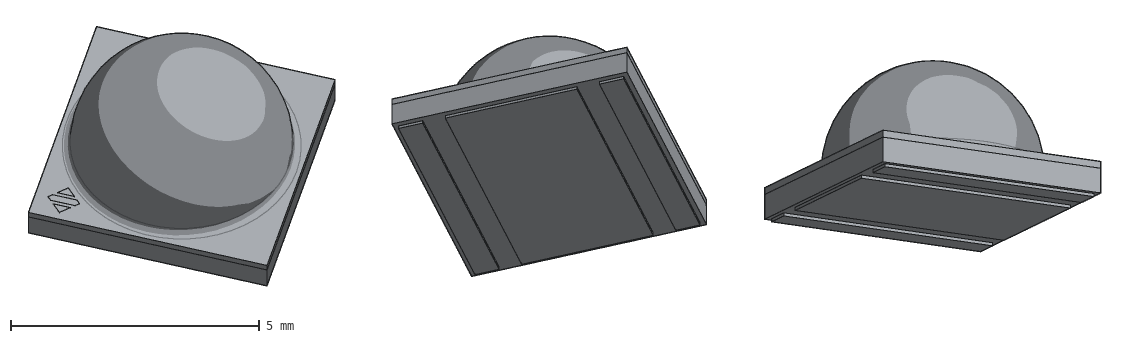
import cadquery as cq
import math

package_side = 5.0
total_height = 3.02
pad_thickness = 0.065
substrate_thickness = 0.515
film_thickness = 0.145

dome_radius = 2.255
dome_blend_radius = 0.155

pad_margin = 0.105
contact_pad_width = 0.515
thermal_pad_width = 2.8

mark_x = -1.9
mark_y = -2.0
mark_half_diagonal = 0.33
band_half_width = 0.075
triangle_base_offset = 0.15

substrate_top = pad_thickness + substrate_thickness
film_top = substrate_top + film_thickness
dome_centre_z = total_height - dome_radius
pad_length = package_side - 2 * pad_margin
contact_pad_x = pad_length / 2 - contact_pad_width / 2


def plate(width, length, thickness, bottom, centre_x=0.0):
    """Rectangular plate centred on Y = 0, with its underside at the given height."""
    return (
        cq.Workplane("XY", origin=(centre_x, 0, bottom))
        .rect(width, length)
        .extrude(thickness)
    )


def make_pad(width, centre_x):
    return plate(width, pad_length, pad_thickness, 0.0, centre_x)


def make_substrate():
    return plate(package_side, package_side, substrate_thickness, pad_thickness)


def make_dome():
    """Spherical dome whose foot flares out tangentially onto the film."""
    blend_z = film_top + dome_blend_radius
    centre_distance = dome_radius + dome_blend_radius
    rise_angle = math.asin((blend_z - dome_centre_z) / centre_distance)
    foot_radius = centre_distance * math.cos(rise_angle)

    tangent_point = (
        dome_radius * math.cos(rise_angle),
        dome_centre_z + dome_radius * math.sin(rise_angle),
    )
    blend_mid_angle = (math.pi + rise_angle + 1.5 * math.pi) / 2
    blend_mid_point = (
        foot_radius + dome_blend_radius * math.cos(blend_mid_angle),
        blend_z + dome_blend_radius * math.sin(blend_mid_angle),
    )
    dome_mid_angle = (rise_angle + math.pi / 2) / 2
    dome_mid_point = (
        dome_radius * math.cos(dome_mid_angle),
        dome_centre_z + dome_radius * math.sin(dome_mid_angle),
    )
    return (
        cq.Workplane("XZ")
        .moveTo(0, substrate_top)
        .lineTo(foot_radius, substrate_top)
        .lineTo(foot_radius, film_top)
        .threePointArc(blend_mid_point, tangent_point)
        .threePointArc(dome_mid_point, (0, total_height))
        .close()
        .revolve(360, (0, 0), (0, 1))
    )


def mark_prism(points):
    """Mark piece through the full film thickness, outlined about the mark centre."""
    return (
        cq.Workplane("XY", origin=(mark_x, mark_y, substrate_top))
        .polyline(points)
        .close()
        .extrude(film_thickness)
    )


def make_mark_triangle(side):
    """Triangle pointing to +Y (side = 1) or -Y (side = -1)."""
    half_base = mark_half_diagonal - triangle_base_offset
    base_y = side * triangle_base_offset
    tip_y = side * mark_half_diagonal
    return mark_prism([(-half_base, base_y), (half_base, base_y), (0, tip_y)])


def make_mark_band():
    """Middle band, pointed at both ends by the corners of the square."""
    half_edge = mark_half_diagonal - band_half_width
    return mark_prism(
        [
            (-mark_half_diagonal, 0),
            (-half_edge, -band_half_width),
            (half_edge, -band_half_width),
            (mark_half_diagonal, 0),
            (half_edge, band_half_width),
            (-half_edge, band_half_width),
        ]
    )


def make_lens(inlays):
    """Dome and square film moulded as one, with openings for the mark inlays."""
    film = plate(package_side, package_side, film_thickness, substrate_top)
    lens = film.union(make_dome())
    for inlay in inlays:
        lens = lens.cut(inlay)
    return lens


thermal_pad = make_pad(thermal_pad_width, 0.0)
contact_pads = [make_pad(contact_pad_width, side * contact_pad_x) for side in (-1, 1)]
substrate = make_substrate()
mark_triangles = [make_mark_triangle(side) for side in (-1, 1)]
mark_band = make_mark_band()
lens = make_lens([mark_band, *mark_triangles])

result = cq.Compound.makeCompound(
    [
        substrate.val(),
        lens.val(),
        thermal_pad.val(),
        *[pad.val() for pad in contact_pads],
        mark_band.val(),
        *[triangle.val() for triangle in mark_triangles],
    ]
)